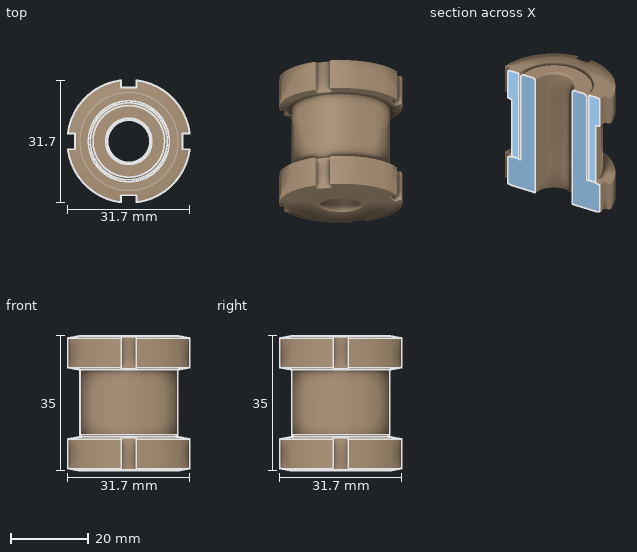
import cadquery as cq
import math

total_height = 35.0
collar_radius = 16.0
collar_height = 8.8
collar_bevel_angle = 10.0
barrel_radius = 12.75
barrel_chamfer = 0.5
notch_width = 4.0
notch_depth = 2.0
notch_count = 4
stud_radius = 10.0
stud_chamfer = 0.7
stud_clearance = 0.5
bore_radius = 5.5
bore_chamfer = 0.5

sleeve_bottom = collar_height
upper_collar_bottom = total_height - collar_height
bevel_height = (collar_radius - barrel_radius) * math.tan(math.radians(collar_bevel_angle))
sleeve_bore_radius = stud_radius + stud_clearance


def slotted_collar(bottom):
    """Disc bevelled on both faces, with spanner notches around its rim."""
    top = bottom + collar_height
    collar = (
        cq.Workplane("XZ")
        .moveTo(0, bottom)
        .lineTo(barrel_radius, bottom)
        .lineTo(collar_radius, bottom + bevel_height)
        .lineTo(collar_radius, top - bevel_height)
        .lineTo(barrel_radius, top)
        .lineTo(0, top)
        .close()
        .revolve(360, (0, 0, 0), (0, 1, 0))
    )
    notches = (
        cq.Workplane("XY", origin=(0, 0, bottom))
        .polarArray(collar_radius, 0, 360, notch_count)
        .rect(2 * notch_depth, notch_width)
        .extrude(collar_height)
    )
    return collar.cut(notches)


def make_sleeve():
    """Upper collar with a barrel below it that rests on the lower collar."""
    barrel = (
        cq.Workplane("XY", origin=(0, 0, sleeve_bottom))
        .circle(barrel_radius)
        .extrude(upper_collar_bottom - sleeve_bottom)
        .faces("<Z")
        .chamfer(barrel_chamfer)
    )
    bore = (
        cq.Workplane("XY", origin=(0, 0, sleeve_bottom))
        .circle(sleeve_bore_radius)
        .extrude(total_height - sleeve_bottom)
    )
    return slotted_collar(upper_collar_bottom).union(barrel).cut(bore)


def make_base():
    """Lower collar with a hollow stud that rises through the sleeve."""
    stud = (
        cq.Workplane("XZ")
        .lineTo(stud_radius, 0)
        .lineTo(stud_radius, total_height - stud_chamfer)
        .lineTo(stud_radius - stud_chamfer, total_height)
        .lineTo(0, total_height)
        .close()
        .revolve(360, (0, 0, 0), (0, 1, 0))
    )
    bore = (
        cq.Workplane("XZ")
        .lineTo(bore_radius, 0)
        .lineTo(bore_radius, total_height - bore_chamfer)
        .lineTo(bore_radius + bore_chamfer, total_height)
        .lineTo(0, total_height)
        .close()
        .revolve(360, (0, 0, 0), (0, 1, 0))
    )
    return slotted_collar(0).union(stud).cut(bore)


sleeve = make_sleeve()
base = make_base()

result = cq.Compound.makeCompound([sleeve.val(), base.val()])